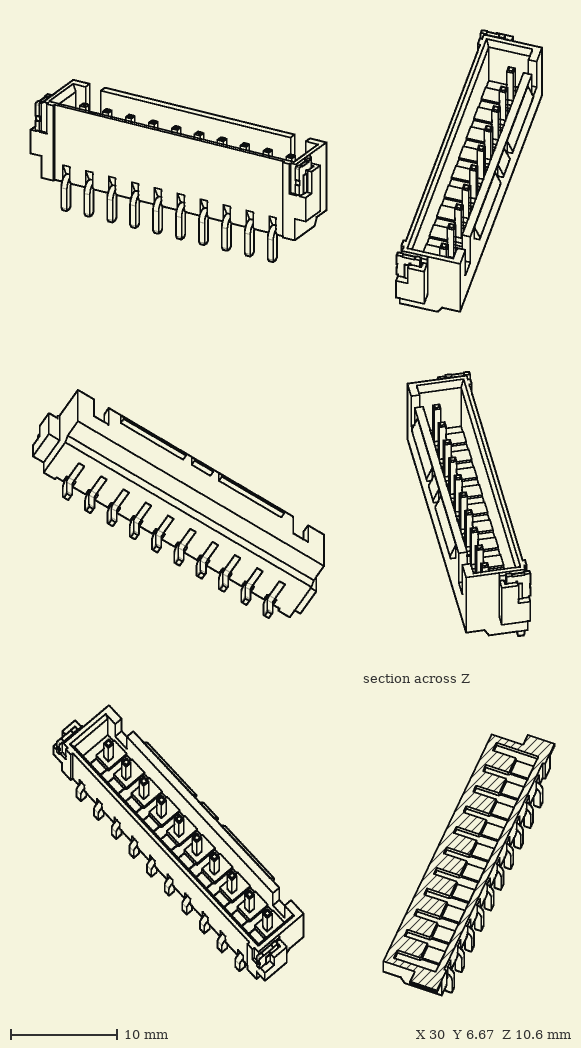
import cadquery as cq

housing_length = 27.6
housing_depth = 5.7
housing_height = 7.8
side_wall = 0.45
front_wall = 0.4
back_wall = 0.8
floor_top = 2.1
lead_in_width = 0.3
lead_in_height = 0.75
rear_step_height = 0.75
rear_step_y = 3.93
foot_y = 3.5

pin_count = 10
pin_row_length = 22.5
pin_pitch = pin_row_length / (pin_count - 1)
pin_width = 0.63
pin_y = 3.4
pin_top = 6.78
pin_tip_chamfer = 0.12

lead_thickness = 0.7
lead_front = -0.4
lead_tip_z = -2.8
lead_run_bottom = -0.05
lead_run_back = 2.4
lead_bend_radius = 1.05
lead_tip_length = 0.3
lead_tip_inset = 0.1

notch_width = 0.75
notch_height = 1.75
notch_depth = 0.6
notch_flare = 0.15

seat_width = 1.8
seat_front = 2.45
seat_height = 0.48
seat_chamfer = 0.165
rib_width = seat_width - 2 * seat_chamfer
rib_height = 0.25

slot_inner_x = 10.35
slot_outer_x = 12.0
slot_floor = 4.05

latch_spans = ((-9.0, -2.0), (-1.05, 1.05), (2.0, 9.0))
latch_reach = 0.57
latch_bottom = 6.0
latch_lip = 0.3
latch_undercut = 0.05
latch_top = 7.65

overall_length = 30.0
wing_front = -0.25
wing_back = 2.52
wing_bottom = 2.25
wing_top = 6.95
wing_notch_y = 0.9
wing_notch_z = 4.7
pad_inner_x = 12.5
pad_notch_x = 13.23
liner_thickness = 0.18
liner_chamfer_height = 0.25
tab_outer_x = 14.37
tab_front = -0.4
tab_back = 1.92
tab_top = 7.7
tab_corner = 0.15
tab_bottom = 4.85
tab_dip = 0.1
tab_dip_front = 0.18
tab_dip_back = 1.38
tab_groove_depth = 0.1
tab_groove_bottom = 5.88
tab_groove_top = 6.35
pocket_outer_x = 14.52
pocket_front = 1.02
pocket_back = 2.1
bump_thickness = 0.05
bump_front = 0.42
bump_top = 6.63

half_housing = housing_length / 2
half_length = overall_length / 2
cavity_back = housing_depth - back_wall


def block(x_range, y_range, z_range):
    """Box between the given limits on each axis."""
    corner = (x_range[0], y_range[0], z_range[0])
    size = [limits[1] - limits[0] for limits in (x_range, y_range, z_range)]
    return cq.Workplane("XY").box(*size, centered=False).translate(corner)


def side_profile(points, x_start, width):
    """Prism along +X whose outline is given as (y, z) points."""
    return cq.Workplane("YZ", origin=(x_start, 0, 0)).polyline(points).close().extrude(width)


def make_housing():
    outline = [
        (0, 0),
        (foot_y, 0),
        (rear_step_y, rear_step_height),
        (housing_depth, rear_step_height),
        (housing_depth, housing_height),
        (0, housing_height),
    ]
    body = side_profile(outline, -half_housing, housing_length)

    mouth_x = half_housing - side_wall
    cavity_x = mouth_x - lead_in_width
    cavity_front = front_wall + lead_in_width
    lead_in_bottom = housing_height - lead_in_height
    cavity = block((-cavity_x, cavity_x), (cavity_front, cavity_back), (floor_top, housing_height))
    lead_in = (
        cq.Workplane("XY", origin=(0, 0, lead_in_bottom))
        .moveTo(0, (cavity_front + cavity_back) / 2)
        .rect(2 * cavity_x, cavity_back - cavity_front)
        .workplane(offset=lead_in_height)
        .moveTo(0, (front_wall + cavity_back) / 2)
        .rect(2 * mouth_x, cavity_back - front_wall)
        .loft(ruled=True)
    )
    body = body.cut(cavity).cut(lead_in)

    for x_range in ((slot_inner_x, slot_outer_x), (-slot_outer_x, -slot_inner_x)):
        body = body.cut(block(x_range, (cavity_back, housing_depth), (slot_floor, housing_height)))
    return body


def make_latch(x_start, x_end):
    """Ridge with a flat underside, a short undercut lip and a sloping top."""
    outline = [
        (housing_depth, latch_bottom),
        (housing_depth + latch_reach - latch_undercut, latch_bottom),
        (housing_depth + latch_reach, latch_bottom + latch_lip),
        (housing_depth, latch_top),
    ]
    return side_profile(outline, x_start, x_end - x_start)


def make_wing():
    """Wing, front pad, liner and retention tab of the +X end."""
    wing = block((half_housing, half_length), (wing_front, wing_back), (wing_bottom, wing_top))
    pad = block((pad_inner_x, half_housing), (wing_front, 0), (0, housing_height))
    wing_notch = block((half_housing, half_length), (wing_front, wing_notch_y), (wing_notch_z, wing_top))
    tab_slot = block((half_housing, tab_outer_x), (wing_front, pocket_back), (wing_notch_z, wing_top))
    tab_pocket = block((tab_outer_x, pocket_outer_x), (pocket_front, pocket_back), (wing_notch_z, wing_top))
    pad_notch = block((pad_notch_x, half_housing), (wing_front, 0), (wing_notch_z, housing_height))
    end = wing.union(pad).cut(wing_notch).cut(tab_slot).cut(tab_pocket).cut(pad_notch)

    liner_x = half_housing + liner_thickness
    liner = (
        cq.Workplane("XZ")
        .moveTo(half_housing, wing_bottom)
        .lineTo(liner_x, wing_bottom)
        .lineTo(liner_x, housing_height - liner_chamfer_height)
        .lineTo(half_housing, housing_height)
        .close()
        .extrude(-wing_back)
    )
    tab = (
        block((liner_x, tab_outer_x), (tab_front, tab_back), (tab_bottom, tab_top))
        .edges("|X and <Y and >Z")
        .fillet(tab_corner)
    )
    dip = block((liner_x, tab_outer_x), (tab_dip_front, tab_dip_back), (tab_top - tab_dip, tab_top))
    groove = block(
        (liner_x, tab_outer_x),
        (tab_front, tab_front + tab_groove_depth),
        (tab_groove_bottom, tab_groove_top),
    )
    tab = tab.cut(dip).cut(groove)
    tab_foot = block((liner_x, tab_outer_x), (wing_front, tab_back), (wing_notch_z, tab_bottom))
    bump_outer_x = tab_outer_x + bump_thickness
    bump = block((tab_outer_x, bump_outer_x), (bump_front, wing_notch_y), (wing_notch_z, bump_top))
    return end.union(liner).union(tab).union(tab_foot).union(bump)


def make_seat(x):
    """Raised seat behind a low rib, with the front corners of the seat bevelled."""
    seat_top = floor_top + seat_height
    seat = (
        block((x - seat_width / 2, x + seat_width / 2), (seat_front, cavity_back), (floor_top, seat_top))
        .edges("|Z and <Y")
        .chamfer(seat_chamfer)
        .faces("<Y")
        .edges(">Z")
        .chamfer(seat_chamfer)
    )
    rib_x = (x - rib_width / 2, x + rib_width / 2)
    rib_y = (front_wall + lead_in_width, seat_front)
    return seat.union(block(rib_x, rib_y, (floor_top, floor_top + rib_height)))


def make_notch(x):
    """Lead exit with a sloping ceiling and flared lower edges."""
    ceiling_back = lead_run_bottom + lead_thickness
    outline = [(0, 0), (notch_depth, 0), (notch_depth, ceiling_back), (0, notch_height)]
    notch = side_profile(outline, x - notch_width / 2, notch_width)
    half_width = notch_width / 2
    flare = (
        cq.Workplane("XZ")
        .moveTo(x - half_width - notch_flare, 0)
        .lineTo(x + half_width + notch_flare, 0)
        .lineTo(x + half_width, notch_flare)
        .lineTo(x - half_width, notch_flare)
        .close()
        .extrude(-notch_depth)
    )
    return notch.union(flare)


def make_pin(x):
    """Upright contact in the housing floor, and its lead that bends down at the front."""
    half_pin = pin_width / 2
    contact = (
        block(
            (x - half_pin, x + half_pin),
            (pin_y - half_pin, pin_y + half_pin),
            (rear_step_height, pin_top),
        )
        .faces(">Z")
        .chamfer(pin_tip_chamfer)
    )
    lead_back = lead_front + lead_thickness
    run_top = lead_run_bottom + lead_thickness
    shank_bottom = lead_tip_z + lead_tip_length
    inner_radius = lead_bend_radius - lead_thickness
    outline = [
        (lead_front, shank_bottom),
        (lead_front, run_top),
        (lead_run_back, run_top),
        (lead_run_back, lead_run_bottom),
        (lead_back, lead_run_bottom),
        (lead_back, shank_bottom),
    ]
    lead = side_profile(outline, x - half_pin, pin_width)
    lead = lead.edges("|X and <Y and >Z").fillet(lead_bend_radius)
    inner_corner = cq.selectors.NearestToPointSelector((x, lead_back, lead_run_bottom))
    lead = lead.edges(inner_corner).fillet(inner_radius)
    tip = (
        cq.Workplane("XY", origin=(x, (lead_front + lead_back) / 2, shank_bottom))
        .rect(pin_width, lead_thickness)
        .workplane(offset=-lead_tip_length)
        .rect(pin_width - 2 * lead_tip_inset, lead_thickness - 2 * lead_tip_inset)
        .loft(ruled=True)
    )
    return contact.union(lead).union(tip)


result = make_housing()

for latch_start, latch_end in latch_spans:
    result = result.union(make_latch(latch_start, latch_end))

right_wing = make_wing()
result = result.union(right_wing).union(right_wing.mirror("YZ"))

for index in range(pin_count):
    pin_x = -pin_row_length / 2 + index * pin_pitch
    result = result.cut(make_notch(pin_x)).union(make_seat(pin_x)).union(make_pin(pin_x))